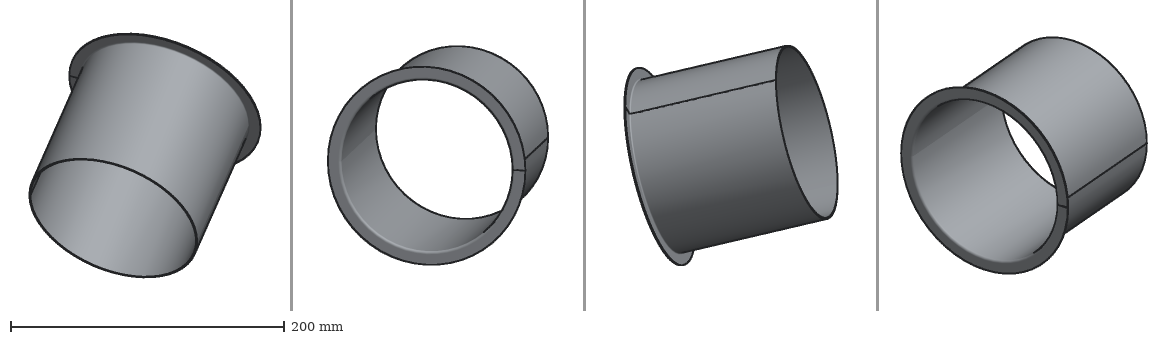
import cadquery as cq
import math

flange_diameter = 148.2
tube_outer_diameter = 130.3
tube_inner_diameter = 128.2
length = 115.0
bend_inner_radius = 1.0
seam_gap = 0.1

sheet = (tube_outer_diameter - tube_inner_diameter) / 2
flange_radius = flange_diameter / 2
outer_radius = tube_outer_diameter / 2
inner_radius = tube_inner_diameter / 2
bend_outer_radius = bend_inner_radius + sheet
bend_center_radius = inner_radius + bend_outer_radius
bend_center_y = -bend_outer_radius
diagonal = math.sqrt(0.5)


def bend_midpoint(radius):
    """Middle of the quarter-circle bend between tube and flange."""
    return (bend_center_radius - radius * diagonal, bend_center_y + radius * diagonal)


section = (
    cq.Workplane("XY")
    .moveTo(inner_radius, -length)
    .lineTo(outer_radius, -length)
    .lineTo(outer_radius, bend_center_y)
    .threePointArc(bend_midpoint(bend_inner_radius), (bend_center_radius, -sheet))
    .lineTo(flange_radius, -sheet)
    .lineTo(flange_radius, 0)
    .lineTo(bend_center_radius, 0)
    .threePointArc(bend_midpoint(bend_outer_radius), (inner_radius, bend_center_y))
    .close()
)

flanged_tube = section.revolve(360, (0, 0, 0), (0, 1, 0))

seam = cq.Workplane("XY").box(flange_radius, length, seam_gap).translate(
    (-flange_radius, -length / 2, seam_gap / 2)
)

result = flanged_tube.cut(seam)